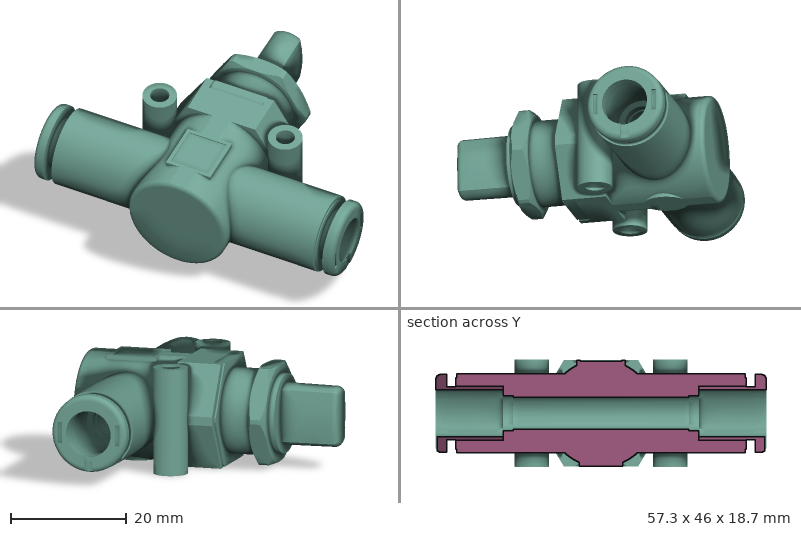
import cadquery as cq
import math


overall_length = 57.3
pillar_height = 18.7

barrel_diameter = 18.7
barrel_front = -9.1
barrel_edge_radius = 0.8
across_flats = 18.4
head_start = 9.15
head_end = 16.95
head_width = 22.9
head_side_height = 1.55
head_flat_width = 12.9

port_diameter = 13.8
port_half_length = 25.0
port_lip_diameter = 12.5
port_lip_height = 0.2
flow_bore_diameter = 5.5
tube_stop_bore_diameter = 6.0
tube_stop_bore_length = 1.7

pillar_diameter = 6.0
pillar_hole_diameter = 3.3
pillar_spacing = 24.0
pillar_y = 9.6

pad_width = 8.5
pad_length = 9.0
pad_border = 0.7
pad_recess_depth = 0.2
round_pad_diameter = 7.55

flange_start = 15.05
flange_end = 17.25
flange_across_flats = 18.1
flange_corner_diameter = 20.5
notch_width = 10.25
neck_diameter = 15.0
nut_start = 22.65
nut_end = 25.7
nut_across_flats = 16.95
nut_corner_diameter = 19.15
nut_chamfer_angle = 30.0
disc_diameter = 14.0
disc_end = 26.8
stem_end = 36.9
stem_width = 6.0
stem_half_height = 5.45
stem_corner_x = 2.5
stem_corner_z = 4.6
stem_taper = 0.7
stem_tip_radius = 1.0

sleeve_diameter = 13.6
sleeve_flange_thickness = 1.95
sleeve_face_diameter = 11.65
sleeve_neck_diameter = 9.2
sleeve_bore_diameter = 8.1
sleeve_insertion = 8.0
key_slot_width = 1.4
key_slot_depth = 0.3
side_recess_height = 3.7
side_recess_inner = 4.8
side_recess_outer = 5.6
side_recess_depth = 0.4

barrel_radius = barrel_diameter / 2
flat_z = across_flats / 2
sleeve_inner_end = port_half_length - sleeve_insertion
sleeve_face = overall_length / 2


def cylinder_y(diameter, start, end):
    """Solid cylinder on the Y axis between two Y places."""
    plane = cq.Plane(origin=(0, start, 0), xDir=(1, 0, 0), normal=(0, 1, 0))
    return cq.Workplane(plane).circle(diameter / 2).extrude(end - start)


def cylinder_x(diameter, start, end):
    """Solid cylinder on the X axis between two X places."""
    return cq.Workplane("YZ", origin=(start, 0, 0)).circle(diameter / 2).extrude(end - start)


def box_between(x_range, y_range, z_range):
    """Box given by its lower and upper place along each axis."""
    corner = cq.Vector(x_range[0], y_range[0], z_range[0])
    return cq.Workplane(
        cq.Solid.makeBox(
            x_range[1] - x_range[0],
            y_range[1] - y_range[0],
            z_range[1] - z_range[0],
            corner,
        )
    )


def hexagon_y(flats, corner_diameter, start, end):
    """Hexagonal prism along Y, flat above and below, with its corners turned round."""
    plane = cq.Plane(origin=(0, start, 0), xDir=(0, 0, 1), normal=(0, 1, 0))
    prism = cq.Workplane(plane).polygon(6, flats, circumscribed=True).extrude(end - start)
    return prism.intersect(cylinder_y(corner_diameter, start, end))


def make_barrel():
    barrel = cylinder_y(barrel_diameter, barrel_front, head_start)
    barrel = barrel.faces("<Y").edges().fillet(barrel_edge_radius)
    flats = box_between(
        (-barrel_radius, barrel_radius), (barrel_front, head_start), (-flat_z, flat_z)
    )
    return barrel.intersect(flats)


def make_head():
    side_x = head_width / 2
    side_z = head_side_height / 2
    flat_x = head_flat_width / 2
    outline = [
        (flat_x, flat_z),
        (side_x, side_z),
        (side_x, -side_z),
        (flat_x, -flat_z),
        (-flat_x, -flat_z),
        (-side_x, -side_z),
        (-side_x, side_z),
        (-flat_x, flat_z),
    ]
    plane = cq.Plane(origin=(0, head_start, 0), xDir=(1, 0, 0), normal=(0, 1, 0))
    return cq.Workplane(plane).polyline(outline).close().extrude(head_end - head_start)


def make_ports():
    lip_end = port_half_length + port_lip_height
    ports = cylinder_x(port_diameter, -port_half_length, port_half_length)
    return ports.union(cylinder_x(port_lip_diameter, -lip_end, lip_end))


def pillar_cylinders(diameter):
    return (
        cq.Workplane("XY", origin=(0, pillar_y, -pillar_height / 2))
        .pushPoints([(-pillar_spacing / 2, 0), (pillar_spacing / 2, 0)])
        .circle(diameter / 2)
        .extrude(pillar_height)
    )


def make_label_pad():
    pad = cq.Workplane("XY").rect(pad_width, pad_length).extrude(flat_z)
    recess = (
        cq.Workplane("XY", origin=(0, 0, flat_z - pad_recess_depth))
        .rect(pad_width - 2 * pad_border, pad_length - 2 * pad_border)
        .extrude(pad_recess_depth)
    )
    return pad, recess


def make_round_pad():
    return cq.Workplane("XY").circle(round_pad_diameter / 2).extrude(-flat_z)


def make_flow_passage():
    """Through bore, opened in steps towards both ends for the tube stop and the sleeve."""
    lip_end = port_half_length + port_lip_height
    stop_end = sleeve_inner_end - tube_stop_bore_length
    passage = cylinder_x(flow_bore_diameter, -lip_end, lip_end)
    for side in (-1, 1):
        stop_bore = cylinder_x(tube_stop_bore_diameter, side * stop_end, side * sleeve_inner_end)
        socket = cylinder_x(sleeve_neck_diameter, side * sleeve_inner_end, side * lip_end)
        passage = passage.union(stop_bore).union(socket)
    return passage


def make_bonnet_seat():
    """Hexagonal pocket in the head, open above and below through a notch."""
    pocket = hexagon_y(flange_across_flats, flange_corner_diameter, flange_start, head_end)
    notch = box_between(
        (-notch_width / 2, notch_width / 2), (flange_start, head_end), (-flat_z, flat_z)
    )
    return pocket.union(notch)


def make_housing():
    label_pad, label_recess = make_label_pad()
    housing = make_barrel().union(make_head()).union(make_ports())
    housing = housing.union(pillar_cylinders(pillar_diameter))
    housing = housing.union(label_pad).union(make_round_pad())
    housing = housing.cut(label_recess).cut(pillar_cylinders(pillar_hole_diameter))
    return housing.cut(make_flow_passage()).cut(make_bonnet_seat())


def make_nut():
    """Hexagonal nut with a conical chamfer at both ends."""
    nut = hexagon_y(nut_across_flats, nut_corner_diameter, nut_start, nut_end)
    corner_radius = nut_corner_diameter / 2
    face_radius = nut_across_flats / 2
    chamfer = (corner_radius - face_radius) * math.tan(math.radians(nut_chamfer_angle))
    envelope = (
        cq.Workplane("XY")
        .moveTo(0, nut_start)
        .lineTo(face_radius, nut_start)
        .lineTo(corner_radius, nut_start + chamfer)
        .lineTo(corner_radius, nut_end - chamfer)
        .lineTo(face_radius, nut_end)
        .lineTo(0, nut_end)
        .close()
        .revolve(360, (0, 0, 0), (0, 1, 0))
    )
    return nut.intersect(envelope)


def make_stem():
    """Tapered operating stem with two broad bulged sides and two narrow rounded sides."""
    plane = cq.Plane(origin=(0, disc_end, 0), xDir=(1, 0, 0), normal=(0, 1, 0))
    stem = (
        cq.Workplane(plane)
        .moveTo(stem_corner_x, -stem_corner_z)
        .threePointArc((stem_width / 2, 0), (stem_corner_x, stem_corner_z))
        .threePointArc((0, stem_half_height), (-stem_corner_x, stem_corner_z))
        .threePointArc((-stem_width / 2, 0), (-stem_corner_x, -stem_corner_z))
        .threePointArc((0, -stem_half_height), (stem_corner_x, -stem_corner_z))
        .close()
        .extrude(stem_end - disc_end, taper=stem_taper)
    )
    return stem.faces(">Y").edges().fillet(stem_tip_radius)


def make_bonnet():
    bonnet = hexagon_y(flange_across_flats, flange_corner_diameter, flange_start, flange_end)
    bonnet = bonnet.union(cylinder_y(neck_diameter, flange_end, nut_start))
    bonnet = bonnet.union(make_nut())
    bonnet = bonnet.union(cylinder_y(disc_diameter, nut_end, disc_end))
    return bonnet.union(make_stem())


def make_sleeve(side):
    """Flanged tube release sleeve for the port on one side, -1 or 1 along X."""
    flange_back = sleeve_face - sleeve_flange_thickness
    rim_radius = (sleeve_diameter - sleeve_face_diameter) / 2
    flange = cylinder_x(sleeve_diameter, flange_back, sleeve_face)
    flange = flange.faces(">X").edges().fillet(rim_radius)
    sleeve = flange.union(cylinder_x(sleeve_neck_diameter, sleeve_inner_end, flange_back))
    sleeve = sleeve.cut(cylinder_x(sleeve_bore_diameter, sleeve_inner_end, sleeve_face))

    key_slot = box_between(
        (sleeve_face - key_slot_depth, sleeve_face),
        (-key_slot_width / 2, key_slot_width / 2),
        (-sleeve_diameter / 2, 0),
    )
    sleeve = sleeve.cut(key_slot)

    side_recess = box_between(
        (sleeve_face - side_recess_depth, sleeve_face),
        (side_recess_inner, side_recess_outer),
        (-side_recess_height / 2, side_recess_height / 2),
    )
    sleeve = sleeve.cut(side_recess).cut(side_recess.mirror("XZ"))
    return sleeve if side > 0 else sleeve.mirror("YZ")


housing = make_housing()
bonnet = make_bonnet()
sleeves = [make_sleeve(side) for side in (-1, 1)]

result = cq.Compound.makeCompound(
    [housing.val(), bonnet.val(), *(sleeve.val() for sleeve in sleeves)]
)